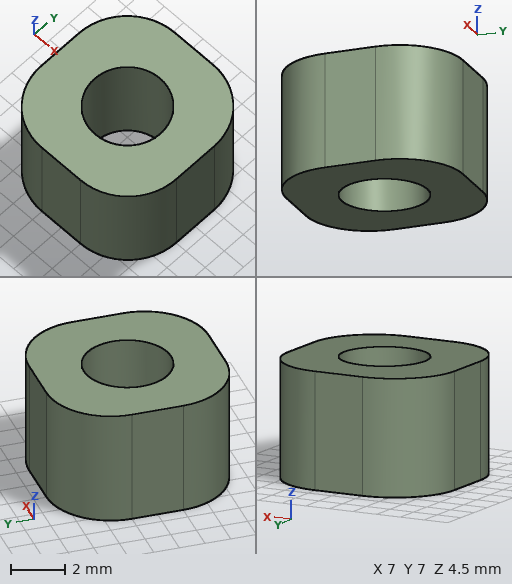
import cadquery as cq

side = 7.0
height = 4.5
corner_radius = 2.5
bore_diameter = 3.4


def rounded_block():
    """Square block centred on the Z axis with rounded vertical edges."""
    block = cq.Workplane("XY").rect(side, side).extrude(height)
    return block.edges("|Z").fillet(corner_radius)


def with_bore(body):
    """Drill the central hole right through the body."""
    return body.faces(">Z").workplane().hole(bore_diameter)


result = with_bore(rounded_block())